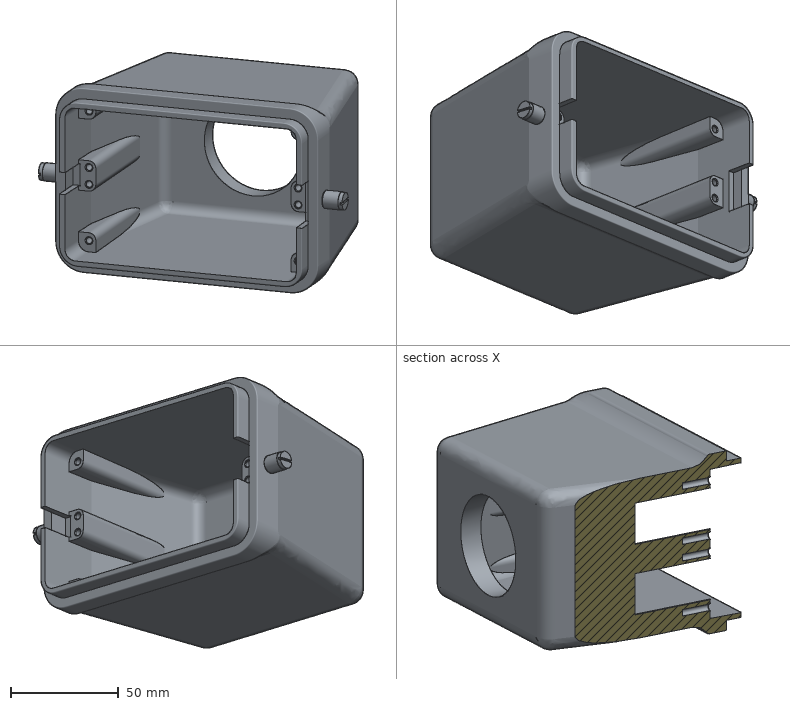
import cadquery as cq
import math

overlap = 1.0
edge_margin = 0.1

total_depth = 106.0
pin_span = 150.8

flange_width = 130.5
flange_height = 88.5
flange_corner = 14.0
flange_front = 8.0
flange_side_back = 22.9
shoulder_back = 21.85
shoulder_angle = 53.0
shoulder_round = 2.0
shoulder_fillet = 10.0
rim_round = 0.5

skirt_inset = 4.95
skirt_width = flange_width - 2 * skirt_inset
skirt_height = flange_height - 2 * skirt_inset
skirt_corner = flange_corner - skirt_inset

side_slope = 0.197
body_height = skirt_height
body_round = 7.0

mouth_half_width = 57.4
mouth_half_height = 36.7
kink_depth = 32.6
kink_half_width = 56.8
floor_depth = 95.0
floor_half_width = 44.6
floor_half_height = 35.6
cavity_corner = 5.0
floor_round = 5.0

entry_diameter = 48.5

post_front = 16.8
post_inner_x = 48.5
post_round = 3.5
corner_post_inner_z = 27.3
middle_post_half_height = 7.3
screw_x = 51.9
corner_screw_z = 31.1
middle_screw_z = 4.05
screw_diameter = 3.0
screw_depth = 15.0
screw_countersink = 0.4

left_notch_height = 10.6
left_notch_inner_x = 56.3
left_notch_depth = 18.0
right_notch_inner_x = 56.5
right_notch_height = 20.7
right_notch_depth = 13.0

pin_y = 16.6
pin_diameter = 8.6
pin_tip_diameter = 8.2
pin_tip_length = 2.0
pin_root_chamfer = 0.5
pin_slot_width = 1.0
pin_slot_depth = 1.0
pin_slot_tilt = 5.0


def block(x0, x1, y0, y1, z0, z1):
    """Box between two opposite corners."""
    size = (x1 - x0, y1 - y0, z1 - z0)
    return cq.Workplane("XY").box(*size, centered=False).translate((x0, y0, z0))


def symmetric_block(width, y0, y1, height):
    """Box centred on the Y axis."""
    return block(-width / 2, width / 2, y0, y1, -height / 2, height / 2)


def plan_prism(half_profile, height):
    """Mirror (half width, y) points about the Y axis and extrude along Z."""
    mirrored = [(-x, y) for x, y in reversed(half_profile)]
    return cq.Workplane("XY").polyline(half_profile + mirrored).close().extrude(height / 2, both=True)


def side_prism(half_profile, width):
    """Mirror (y, half height) points about the Y axis and extrude along X."""
    mirrored = [(y, -z) for y, z in reversed(half_profile)]
    return cq.Workplane("YZ").polyline(half_profile + mirrored).close().extrude(width / 2, both=True)


def body_half_width(y):
    """Half width of the sloping body at depth y."""
    return flange_width / 2 - side_slope * (y - flange_side_back)


def rounded_loft(start, end):
    """Ruled solid between two round-cornered rectangles (y, half width, half height, corner radius)."""
    wires = []
    for y, half_width, half_height, corner in (start, end):
        plate = symmetric_block(2 * half_width, y - overlap, y, 2 * half_height)
        wires.append(plate.edges("|Y").fillet(corner).faces(">Y").wires().val())
    return cq.Workplane(cq.Solid.makeLoft(wires, True))


def make_blend():
    """Body flaring into a shoulder that is still wider than the flange."""
    half_height = body_height / 2
    half_width = body_half_width(shoulder_back)
    flare = (shoulder_back - flange_front) * math.tan(math.radians(shoulder_angle))
    joint = (shoulder_back, half_width, half_height, body_round)
    back = (total_depth, body_half_width(total_depth), half_height, body_round)
    front = (flange_front, half_width + flare, half_height + flare, body_round + flare)
    joint_edges = cq.selectors.BoxSelector(
        (-flange_width, shoulder_back - edge_margin, -flange_height),
        (flange_width, shoulder_back + edge_margin, flange_height),
        boundingbox=True,
    )
    blend = rounded_loft(joint, back).union(rounded_loft(joint, front))
    return blend.edges(joint_edges).fillet(shoulder_fillet).faces(">Y").edges().fillet(body_round)


def make_shell():
    """Solid outside of the hood: the blend trimmed to the flange outline and the sloping sides."""
    blend = make_blend()
    outline = symmetric_block(flange_width, flange_front, total_depth, flange_height)
    outline = outline.edges("|Y").fillet(flange_corner)
    sides = plan_prism(
        [
            (flange_width / 2, flange_front),
            (flange_width / 2, flange_side_back),
            (body_half_width(total_depth), total_depth),
        ],
        flange_height,
    )
    shell = blend.intersect(outline.intersect(sides))
    ridges = shell.edges("|X").edges(">Z or <Z").edges(">Y")
    return ridges.fillet(shoulder_round).faces("<Y").edges().fillet(rim_round)


def make_skirt():
    skirt = symmetric_block(skirt_width, 0, flange_front + overlap, skirt_height)
    return skirt.edges("|Y").fillet(skirt_corner).faces("<Y").edges().fillet(rim_round)


def make_cavity():
    """Drafted cavity with rounded corners and a rounded floor."""
    plan = plan_prism(
        [
            (mouth_half_width, 0),
            (kink_half_width, kink_depth),
            (floor_half_width, floor_depth),
        ],
        flange_height,
    )
    side = side_prism([(0, mouth_half_height), (floor_depth, floor_half_height)], flange_width)
    cavity = plan.intersect(side)
    cavity = cavity.edges("not(|X or |Z)").fillet(cavity_corner)
    return cavity.faces(">Y").edges().fillet(floor_round)


def make_posts(cavity):
    """Mounting posts for the eight screws, grown from the cavity walls and cut off at the post front."""
    posts = cq.Workplane("XY")
    for side in (-1, 1):
        outer_x = side * flange_width / 2
        inner_x = side * post_inner_x
        x0, x1 = sorted((inner_x, outer_x))
        inner_edges = "|Y and <X" if side > 0 else "|Y and >X"
        middle = block(x0, x1, post_front, floor_depth, -middle_post_half_height, middle_post_half_height)
        posts = posts.add(middle.edges(inner_edges).fillet(post_round))
        corner = block(x0, x1, post_front, floor_depth, corner_post_inner_z, flange_height / 2)
        corner = corner.edges(inner_edges).edges("<Z").fillet(post_round)
        posts = posts.add(corner).add(corner.mirror("XY"))
    return posts.combine().intersect(cavity)


def make_screw_holes():
    """Blind, lightly countersunk screw holes in the post fronts."""
    radius = screw_diameter / 2
    outline = [
        (0, 0),
        (radius + screw_countersink, 0),
        (radius, screw_countersink),
        (radius, screw_depth),
        (0, screw_depth),
    ]
    hole = cq.Workplane("XY").polyline(outline).close().revolve(360, (0, 0), (0, 1))
    places = [
        (x, post_front, z)
        for x in (-screw_x, screw_x)
        for z in (-corner_screw_z, -middle_screw_z, middle_screw_z, corner_screw_z)
    ]
    holes = cq.Workplane("XY")
    for place in places:
        holes = holes.add(hole.translate(place))
    return holes.combine()


def make_notches():
    """Narrow notch in the left skirt wall and wide notch in the right one."""
    left_half = left_notch_height / 2
    right_half = right_notch_height / 2
    outer_x = skirt_width / 2
    left = block(-outer_x, -left_notch_inner_x, 0, left_notch_depth, -left_half, left_half)
    right = block(right_notch_inner_x, outer_x, 0, right_notch_depth, -right_half, right_half)
    return left.union(right)


def make_pin():
    """Locking pin on the +X side with a slightly thinner, slotted tip."""
    tip_x = pin_span / 2
    neck_x = tip_x - pin_tip_length
    across = cq.Workplane("YZ").center(pin_y, 0)
    root_x = flange_width / 2
    stem = across.workplane(offset=root_x).circle(pin_diameter / 2).extrude(neck_x - root_x)
    stem = stem.faces("<X").edges().chamfer(pin_root_chamfer)
    tip = across.workplane(offset=neck_x).circle(pin_tip_diameter / 2).extrude(pin_tip_length)
    slot = symmetric_block(2 * pin_slot_depth, -pin_diameter, pin_diameter, pin_slot_width)
    slot = slot.rotate((0, 0, 0), (1, 0, 0), pin_slot_tilt).translate((tip_x, pin_y, 0))
    return stem.union(tip).cut(slot)


def make_entry():
    """Round cable entry through the back wall."""
    start = floor_depth - overlap
    length = total_depth + overlap - start
    return cq.Workplane("XZ", origin=(0, start, 0)).circle(entry_diameter / 2).extrude(-length)


cavity = make_cavity()
pin = make_pin()

result = (
    make_shell()
    .union(make_skirt())
    .cut(cavity)
    .union(make_posts(cavity))
    .cut(make_screw_holes())
    .cut(make_notches())
    .cut(make_entry())
    .union(pin)
    .union(pin.mirror("YZ"))
)